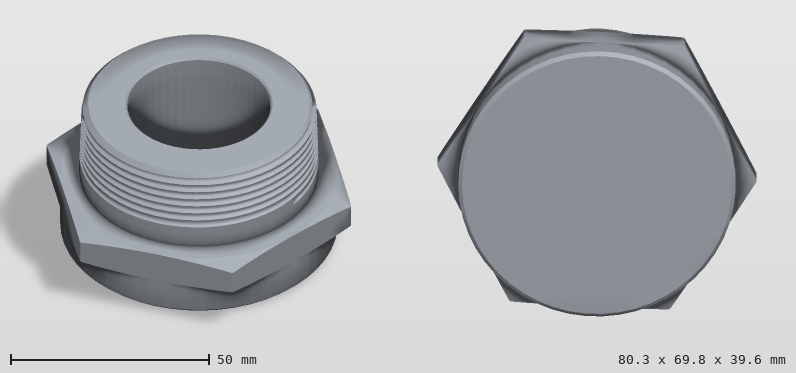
import cadquery as cq
import math

total_height = 39.6
across_flats = 69.8
across_corners = 80.35

base_radius = across_flats / 2
base_height = 9.1
base_chamfer = 1.0

hex_top = 17.5
hex_corner_drop = 1.1

neck_radius = 30.1
neck_top = 21.05
taper_slope = 1 / 32
tip_radius = 27.9

thread_pitch = 2.21
thread_start = 22.78
thread_start_angle = -20.0
thread_turns = 8
groove_depth = 1.7
groove_width = 2.1
groove_overcut = 0.5

bore_radius = 18.1
bore_chamfer = 0.5


def cone_radius(z):
    """Crest radius of the tapered thread at height z."""
    return neck_radius - (z - neck_top) * taper_slope


def make_base():
    """Solid disc that closes the lower end of the fitting."""
    disc = cq.Workplane("XY").circle(base_radius).extrude(base_height)
    return disc.faces("<Z").edges().chamfer(base_chamfer)


def make_hex_flange():
    """Hexagon with its corners trimmed round and coned on both faces."""
    hex_height = hex_top - base_height
    hexagon = (
        cq.Workplane("XY", origin=(0, 0, base_height))
        .polygon(6, across_flats / math.cos(math.pi / 6))
        .extrude(hex_height)
    )
    flat_radius = across_flats / 2
    corner_radius = across_corners / 2
    envelope = (
        cq.Workplane("XZ")
        .moveTo(0, base_height)
        .lineTo(flat_radius, base_height)
        .lineTo(corner_radius, base_height + hex_corner_drop)
        .lineTo(corner_radius, hex_top - hex_corner_drop)
        .lineTo(flat_radius, hex_top)
        .lineTo(0, hex_top)
        .close()
        .revolve(360, (0, 0), (0, 1))
    )
    return hexagon.intersect(envelope)


def make_spigot_blank():
    """Cylindrical neck, tapered thread blank and chamfered tip."""
    chamfer_drop = (cone_radius(total_height) - tip_radius) / (1 - taper_slope)
    chamfer_base = total_height - chamfer_drop
    return (
        cq.Workplane("XZ")
        .moveTo(0, hex_top)
        .lineTo(neck_radius, hex_top)
        .lineTo(neck_radius, neck_top)
        .lineTo(cone_radius(chamfer_base), chamfer_base)
        .lineTo(tip_radius, total_height)
        .lineTo(0, total_height)
        .close()
        .revolve(360, (0, 0), (0, 1))
    )


def make_thread_groove():
    """Right-handed V groove that starts just before +X and runs out past the tip."""
    start_radius = cone_radius(thread_start)
    half_width = groove_width / 2
    section = [
        (-groove_depth, 0),
        (0, -half_width),
        (groove_overcut, -half_width),
        (groove_overcut, half_width),
        (0, half_width),
    ]
    helices = [
        cq.Wire.makeHelix(
            thread_pitch,
            thread_pitch * thread_turns,
            start_radius + radial,
            cq.Vector(0, 0, thread_start + axial),
            cq.Vector(0, 0, 1),
            -math.degrees(math.atan(taper_slope)),
        )
        for radial, axial in section
    ]
    next_helices = helices[1:] + helices[:1]
    faces = [
        cq.Face.makeRuledSurface(helix.Edges()[0], neighbour.Edges()[0])
        for helix, neighbour in zip(helices, next_helices)
    ]
    start_points = [helix.startPoint() for helix in helices]
    end_points = [helix.endPoint() for helix in helices]
    for points in (start_points, end_points):
        outline = cq.Wire.makePolygon(points, close=True)
        faces.append(cq.Face.makeFromWires(outline))
    groove = cq.Solid.makeSolid(cq.Shell.makeShell(faces)).fix()
    origin = cq.Vector(0, 0, 0)
    groove = groove.rotate(origin, cq.Vector(0, 0, 1), thread_start_angle)
    return cq.Workplane(obj=groove)


def make_bore():
    """Through bore with a chamfered mouth at the tip."""
    mouth_radius = bore_radius + bore_chamfer
    return (
        cq.Workplane("XZ")
        .moveTo(0, base_height)
        .lineTo(bore_radius, base_height)
        .lineTo(bore_radius, total_height - bore_chamfer)
        .lineTo(mouth_radius, total_height)
        .lineTo(0, total_height)
        .close()
        .revolve(360, (0, 0), (0, 1))
    )


def make_fitting():
    """Hexagonal fitting with a threaded spigot and a through bore."""
    spigot = make_spigot_blank().cut(make_thread_groove())
    return spigot.union(make_hex_flange()).cut(make_bore())


base = make_base()
fitting = make_fitting()
result = cq.Compound.makeCompound([base.val(), *fitting.solids().vals()])